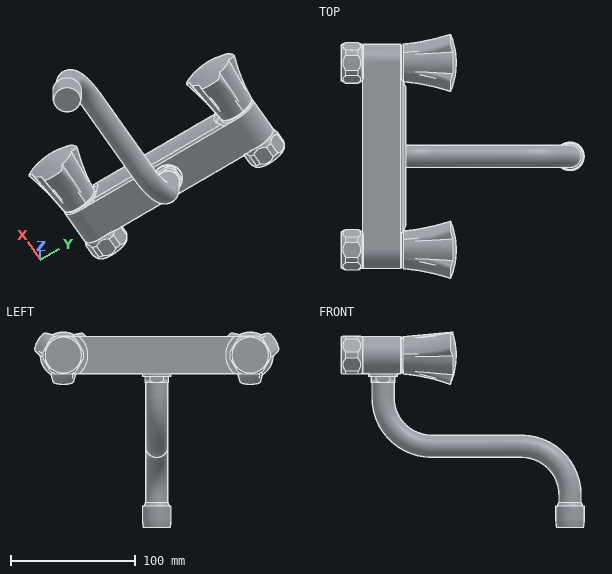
import cadquery as cq
import math


handle_spacing = 150.0
housing_radius = 15.1
housing_back = -16.6
shoulder_x = 13.9
housing_front = 16.0
shoulder_z = 13.4
bulge_front = 18.35
relief_radius = 19.6
back_relief_x = -16.0
front_relief_x = 14.9
end_chamfer = front_relief_x - shoulder_x

nut_sides = 6
nut_back = -33.6
nut_gap = 0.5
nut_front = back_relief_x - nut_gap
nut_length = nut_front - nut_back
nut_across_flats = 30.5
nut_corner_radius = 16.4
nut_face_radius = 14.5
nut_chamfer_length = 3.6

collar_diameter = 23.0
collar_bottom = -17.1
square_across_flats = 19.0
square_corner_diameter = 22.0
square_bottom = -22.1
tube_diameter = 18.0
bend_radius = 39.0
first_bend_top = -34.1
straight_length = 72.0
outlet_x = 2 * bend_radius + straight_length
tube_level = first_bend_top - bend_radius
second_bend_end = tube_level - bend_radius
neck_top = -118.1
neck_diameter = 21.0
aerator_diameter = 23.0
aerator_top = -121.2
aerator_taper_top = -132.9
aerator_mid_diameter = 22.6
aerator_end_diameter = 21.5
aerator_bottom = -138.45

handle_back = 16.2
handle_apex = 59.0
dome_radius = 58.0
grip_back_radius = 14.9
grip_front_radius = 18.87
lobe_count = 3
lobe_back_radius = 15.2
lobe_mid_x = 38.0
lobe_mid_radius = 18.7
lobe_front_radius = 25.6
lobe_back_root = (12.4, 8.4)
lobe_front_root = (15.0, 10.3)
lobe_top_distance = 27.0
lobe_top_half_width = 6.9
lobe_corner_radius = 3.0
lobe_first_angle = -90.0


def x_cylinder(radius, x_start, x_end, y=0.0):
    """Cylinder along X between two X positions."""
    return cq.Workplane("YZ", origin=(x_start, y, 0)).circle(radius).extrude(x_end - x_start)


def revolve_about_x(profile):
    """Full turn of an XY profile around the X axis."""
    return profile.close().revolve(360, (0, 0, 0), (1, 0, 0))


def make_beam():
    """Bar between the handle axes, with a gently bulging front."""
    return (
        cq.Workplane("XZ", origin=(0, handle_spacing / 2, 0))
        .moveTo(housing_back, -housing_radius)
        .lineTo(shoulder_x, -housing_radius)
        .lineTo(housing_front, -shoulder_z)
        .threePointArc((bulge_front, 0), (housing_front, shoulder_z))
        .lineTo(shoulder_x, housing_radius)
        .lineTo(housing_back, housing_radius)
        .close()
        .extrude(handle_spacing)
    )


def make_body():
    """Beam with a round end on each handle axis and round reliefs at the nuts and handles."""
    body = make_beam()
    for y in handle_positions:
        body = body.cut(x_cylinder(relief_radius, housing_back, back_relief_x, y))
        body = body.cut(x_cylinder(relief_radius, shoulder_x, bulge_front, y))
        round_end = x_cylinder(housing_radius, back_relief_x, front_relief_x, y)
        body = body.union(round_end.faces(">X").chamfer(end_chamfer))
    return body


def make_spout_inlet():
    """Collar under the beam and a square nut with rounded corners below it."""
    collar = (
        cq.Workplane("XY", origin=(0, 0, collar_bottom))
        .circle(collar_diameter / 2)
        .extrude(-housing_radius - collar_bottom)
    )
    square_height = collar_bottom - square_bottom
    corner_chamfer = (square_corner_diameter - square_across_flats) / 2
    square = (
        cq.Workplane("XY", origin=(0, 0, square_bottom))
        .rect(square_across_flats, square_across_flats)
        .extrude(square_height)
    )
    corners = (
        cq.Workplane("XY", origin=(0, 0, square_bottom))
        .circle(square_corner_diameter / 2)
        .extrude(square_height)
        .faces("<Z")
        .chamfer(corner_chamfer)
    )
    return collar.union(square.intersect(corners))


def make_tube():
    """S-shaped tube: down, forward and down again."""
    bend_offset = bend_radius * math.sin(math.radians(45))
    path = (
        cq.Workplane("XZ")
        .moveTo(0, square_bottom)
        .lineTo(0, first_bend_top)
        .threePointArc(
            (bend_radius - bend_offset, first_bend_top - bend_offset),
            (bend_radius, tube_level),
        )
        .lineTo(bend_radius + straight_length, tube_level)
        .threePointArc(
            (outlet_x - bend_radius + bend_offset, second_bend_end + bend_offset),
            (outlet_x, second_bend_end),
        )
        .lineTo(outlet_x, neck_top)
    )
    return (
        cq.Workplane("XY", origin=(0, 0, square_bottom))
        .circle(tube_diameter / 2)
        .sweep(path)
    )


def make_outlet():
    """Flared neck and aerator at the end of the tube."""
    return (
        cq.Workplane("XZ", origin=(outlet_x, 0, 0))
        .moveTo(0, neck_top)
        .lineTo(tube_diameter / 2, neck_top)
        .lineTo(neck_diameter / 2, aerator_top)
        .lineTo(aerator_diameter / 2, aerator_top)
        .lineTo(aerator_diameter / 2, aerator_taper_top)
        .threePointArc(
            (aerator_mid_diameter / 2, (aerator_taper_top + aerator_bottom) / 2),
            (aerator_end_diameter / 2, aerator_bottom),
        )
        .lineTo(0, aerator_bottom)
        .close()
        .revolve(360, (0, 0, 0), (0, 1, 0))
    )


def make_nut(y):
    """Hexagonal union nut whose corners are turned down and chamfered at both ends."""
    hexagon = (
        cq.Workplane("YZ", origin=(nut_back, 0, 0))
        .polygon(nut_sides, nut_across_flats / math.cos(math.pi / nut_sides))
        .extrude(nut_length)
    )
    turned = (
        x_cylinder(nut_corner_radius, nut_back, nut_front)
        .faces("<X or >X")
        .chamfer(nut_chamfer_length, nut_corner_radius - nut_face_radius)
    )
    return hexagon.intersect(turned).translate((0, y, 0))


def lobe_section(x, root):
    """Outline across a lobe at X, widest at the root (distance from the axis, half width)."""
    distance, half_width = root
    points = [
        (0, 0),
        (distance, -half_width),
        (lobe_top_distance, -lobe_top_half_width),
        (lobe_top_distance, lobe_top_half_width),
        (distance, half_width),
    ]
    return cq.Wire.makePolygon([cq.Vector(x, u, v) for u, v in points], close=True)


def make_lobe():
    """Finger lobe along +Y, flaring towards the front, with rounded long edges."""
    flare = revolve_about_x(
        cq.Workplane("XY")
        .moveTo(handle_back, 0)
        .lineTo(handle_back, lobe_back_radius)
        .threePointArc((lobe_mid_x, lobe_mid_radius), (handle_apex, lobe_front_radius))
        .lineTo(handle_apex, 0)
    )
    back_section = lobe_section(handle_back, lobe_back_root)
    front_section = lobe_section(handle_apex, lobe_front_root)
    sector = cq.Solid.makeLoft([back_section, front_section], True)
    lobe = flare.intersect(cq.Workplane(sector))
    long_edges = cq.selectors.BoxSelector(
        (handle_back, grip_back_radius, -lobe_top_distance),
        (handle_apex, lobe_top_distance, lobe_top_distance),
    )
    return lobe.edges(long_edges).fillet(lobe_corner_radius)


def make_handle(y):
    """Conical grip with three lobes and a domed front."""
    grip = revolve_about_x(
        cq.Workplane("XY")
        .moveTo(handle_back, 0)
        .lineTo(handle_back, grip_back_radius)
        .lineTo(handle_apex, grip_front_radius)
        .lineTo(handle_apex, 0)
    )
    lobe = make_lobe()
    for i in range(lobe_count):
        angle = lobe_first_angle + i * 360 / lobe_count
        grip = grip.union(lobe.rotate((0, 0, 0), (1, 0, 0), angle))
    dome = cq.Workplane("XY").sphere(dome_radius).translate((handle_apex - dome_radius, 0, 0))
    return grip.intersect(dome).translate((0, y, 0))


handle_positions = (-handle_spacing / 2, handle_spacing / 2)

housing = make_body().union(make_spout_inlet()).union(make_tube()).union(make_outlet())
nuts = [make_nut(y).val() for y in handle_positions]
handles = [make_handle(y).val() for y in handle_positions]

result = cq.Compound.makeCompound([housing.val(), *nuts, *handles])